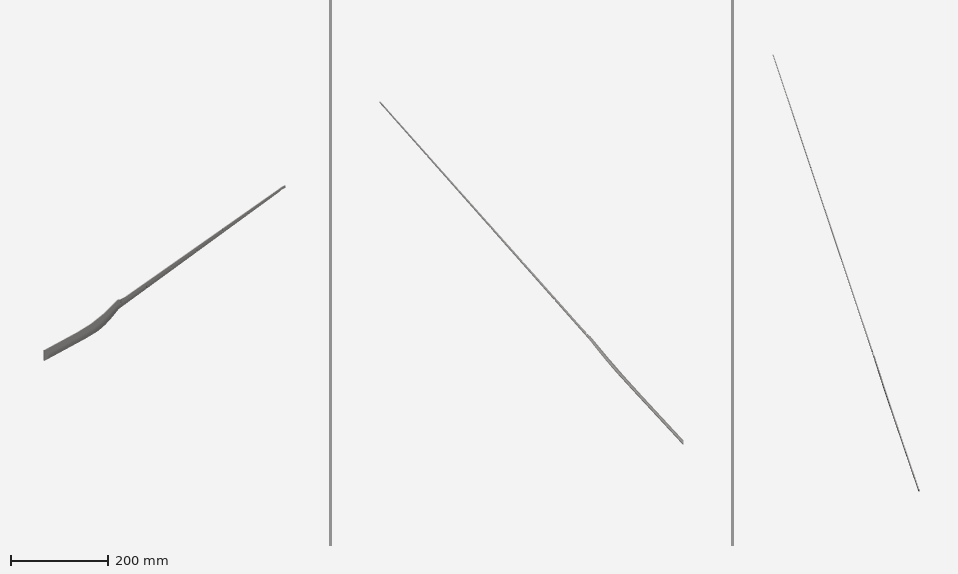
import cadquery as cq

THICKNESS = 2.0
LENGTH = 944.91
HEIGHT = 98.29

HANDLE_HEIGHT = 23.0
HANDLE_TOP_LENGTH = 130.0
HANDLE_BOTTOM_LENGTH = 160.0

BEND_PEAK = (290.0, 46.5)
BEND_TOP_SAGITTA = 6.2
BEND_BOTTOM_MIDDLE = (222.0, 3.4)
BEND_BOTTOM_END = (291.5, 25.4)
BEND_EXIT_SLOPE = 0.42

SEAT_HEIGHT = 43.6
SEAT_START_Y = 297.0
SEAT_END_Y = 318.0

BLADE_END_Y = 923.2
BLADE_END_TOP = 97.4
BLADE_END_BOTTOM = 91.2
TIP_START_Y = 928.4
TIP_HEIGHT = 5.4

SLOT_COUNT = 7
FIRST_SLOT_Y = 300.2
SLOT_PITCH = 99.6
SLOT_WIDTH = 3.2


def height_on_line(start, end, y):
    """Height at y of the straight line through two (y, z) points."""
    slope = (end[1] - start[1]) / (end[0] - start[0])
    return start[1] + slope * (y - start[0])


def blade_middle(y):
    """Height of the blade's centre line."""
    top = height_on_line((SEAT_END_Y, SEAT_HEIGHT), (BLADE_END_Y, BLADE_END_TOP), y)
    bottom = height_on_line(BEND_BOTTOM_END, (BLADE_END_Y, BLADE_END_BOTTOM), y)
    return (top + bottom) / 2


def make_strip():
    """Full outline of the strip, extruded symmetrically about X = 0."""
    tip_bottom = HEIGHT - TIP_HEIGHT
    return (
        cq.Workplane("YZ")
        .moveTo(0, 0)
        .lineTo(HANDLE_BOTTOM_LENGTH, 0)
        .spline(
            [BEND_BOTTOM_MIDDLE, BEND_BOTTOM_END],
            tangents=[(1, 0), (1, BEND_EXIT_SLOPE)],
            includeCurrent=True,
        )
        .lineTo(BLADE_END_Y, BLADE_END_BOTTOM)
        .lineTo(TIP_START_Y, tip_bottom)
        .lineTo(LENGTH, tip_bottom)
        .lineTo(LENGTH, HEIGHT)
        .lineTo(TIP_START_Y, HEIGHT)
        .lineTo(BLADE_END_Y, BLADE_END_TOP)
        .lineTo(SEAT_END_Y, SEAT_HEIGHT)
        .lineTo(SEAT_START_Y, SEAT_HEIGHT)
        .lineTo(*BEND_PEAK)
        .sagittaArc((HANDLE_TOP_LENGTH, HANDLE_HEIGHT), BEND_TOP_SAGITTA)
        .lineTo(0, HANDLE_HEIGHT)
        .close()
        .extrude(THICKNESS / 2, both=True)
    )


def make_slot(index):
    """Cutter for one slot: even slots open upwards, odd slots open downwards."""
    y = FIRST_SLOT_Y + index * SLOT_PITCH
    cutter_width = 2 * THICKNESS
    cutter_height = HANDLE_HEIGHT
    side = 1 if index % 2 == 0 else -1
    center_z = blade_middle(y) + side * cutter_height / 2
    return cq.Workplane("XY").box(cutter_width, SLOT_WIDTH, cutter_height).translate((0, y, center_z))


result = make_strip()
for slot_index in range(SLOT_COUNT):
    result = result.cut(make_slot(slot_index))